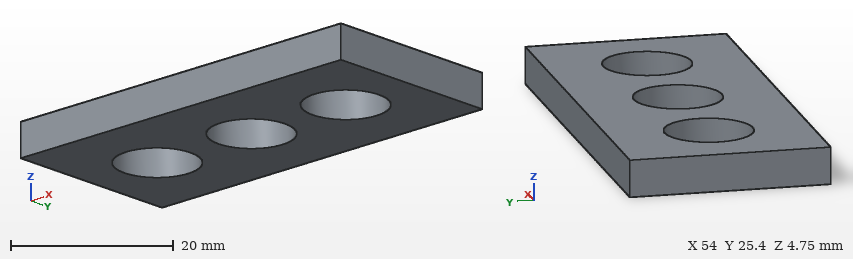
import cadquery as cq

length = 54.0
width = 25.4
thickness = 4.75

hole_diameter = 11.1
hole_pitch = 15.85
hole_count = 3

plate = cq.Workplane("XY").box(length, width, thickness)

result = (
    plate.faces(">Z")
    .workplane()
    .rarray(hole_pitch, 0.55, hole_count, 1)
    .hole(hole_diameter)
)